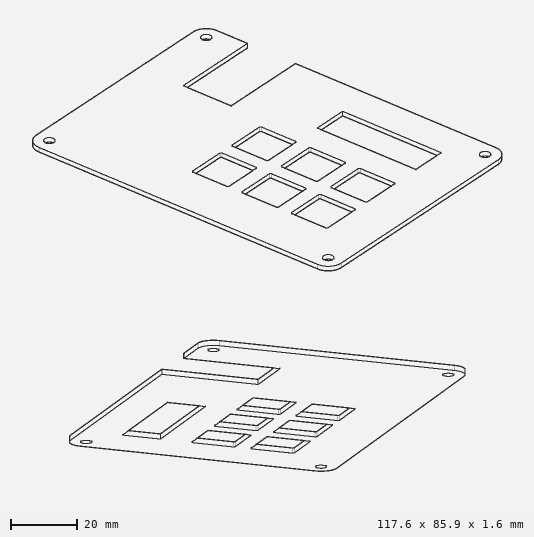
import cadquery as cq

length = 117.6
width = 85.9
thickness = 1.6
corner_radius = 5.0

hole_diameter = 3.4

notch_left = 16.9
notch_width = 18.5
notch_depth = 31.0

window_length = 38.0
window_width = 12.2
window_right_margin = 16.0
window_back_margin = 12.6

key_size = 14.0
key_corner_radius = 0.5
key_pitch = 19.0
key_columns = 3
key_rows = 2
key_grid_center_x = 75.8
key_grid_center_y = 34.5


def through_box(left, front, size_x, size_y):
    """Rectangular cutter spanning the full plate thickness."""
    return cq.Workplane("XY").box(size_x, size_y, thickness, centered=False).translate((left, front, 0))


def make_plate():
    plate = cq.Workplane("XY").box(length, width, thickness, centered=False)
    return plate.edges("|Z").fillet(corner_radius)


def screw_holes():
    hole_span_x = length - 2 * corner_radius
    hole_span_y = width - 2 * corner_radius
    return (
        cq.Workplane("XY")
        .center(length / 2, width / 2)
        .rect(hole_span_x, hole_span_y, forConstruction=True)
        .vertices()
        .circle(hole_diameter / 2)
        .extrude(thickness)
    )


def back_notch():
    return through_box(notch_left, width - notch_depth, notch_width, notch_depth)


def display_window():
    left = length - window_right_margin - window_length
    front = width - window_back_margin - window_width
    return through_box(left, front, window_length, window_width)


def key_openings():
    return (
        cq.Workplane("XY")
        .center(key_grid_center_x, key_grid_center_y)
        .rarray(key_pitch, key_pitch, key_columns, key_rows)
        .rect(key_size, key_size)
        .extrude(thickness)
        .edges("|Z")
        .fillet(key_corner_radius)
    )


result = (
    make_plate()
    .cut(screw_holes())
    .cut(back_notch())
    .cut(display_window())
    .cut(key_openings())
)